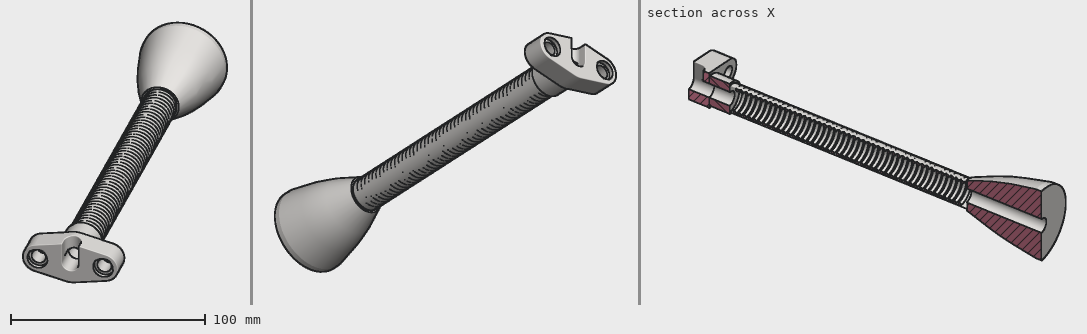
import cadquery as cq
import math

length = 216.5
bracket_thickness = 12.8
ferrule_length = 12.5
cup_length = 46.0
tube_length = length - bracket_thickness - ferrule_length - cup_length

front_y = -length / 2
ferrule_y = front_y + bracket_thickness
tube_y = ferrule_y + ferrule_length
cup_y = tube_y + tube_length
back_y = length / 2

bore_diameter = 8.9
edge_break = 0.5

bracket_width = 51.0
bracket_height = 23.0
bolt_spacing = 35.0
bolt_hole_diameter = 7.5
counterbore_diameter = 10.6
counterbore_depth = 2.5
slot_back_wall = 4.0

ferrule_diameter = 20.1
tube_diameter = 18.0
tube_wall = 0.2
tube_bore_diameter = tube_diameter - 2 * tube_wall
wire_diameter = 2.0
coil_turns = 47
coil_clearance = 0.1
coil_end_gap = 2.2

mouth_diameter = 46.0
neck_diameter = ferrule_diameter
rim_width = 3.5
flank_bulge = 1.5


def ring(outer_diameter, inner_diameter, start_y, ring_length):
    """Round sleeve on the Y axis that starts at start_y and runs toward +Y."""
    return (
        cq.Workplane("XZ", origin=(0, start_y, 0))
        .circle(outer_diameter / 2)
        .circle(inner_diameter / 2)
        .extrude(-ring_length)
    )


def bracket_plate():
    """Plate bounded by hub arcs and ear arcs, joined by tangent flanks."""
    hub_radius = bracket_height / 2
    ear_center_x = bolt_spacing / 2
    ear_radius = bracket_width / 2 - ear_center_x
    normal_x = (hub_radius - ear_radius) / ear_center_x
    normal_z = math.sqrt(1 - normal_x**2)
    hub_end_x = hub_radius * normal_x
    hub_end_z = hub_radius * normal_z
    ear_end_x = ear_center_x + ear_radius * normal_x
    ear_end_z = ear_radius * normal_z
    return (
        cq.Workplane("XZ", origin=(0, front_y, 0))
        .moveTo(-hub_end_x, hub_end_z)
        .threePointArc((0, hub_radius), (hub_end_x, hub_end_z))
        .lineTo(ear_end_x, ear_end_z)
        .threePointArc((bracket_width / 2, 0), (ear_end_x, -ear_end_z))
        .lineTo(hub_end_x, -hub_end_z)
        .threePointArc((0, -hub_radius), (-hub_end_x, -hub_end_z))
        .lineTo(-ear_end_x, -ear_end_z)
        .threePointArc((-bracket_width / 2, 0), (-ear_end_x, ear_end_z))
        .close()
        .extrude(-bracket_thickness)
    )


def cable_slot():
    """Axial bore plus a slot above it, open at the top and front, with a round back wall."""
    bore_radius = bore_diameter / 2
    slot_back_y = ferrule_y - slot_back_wall
    round_start_y = slot_back_y - bore_radius
    bore = cq.Workplane("XZ", origin=(0, front_y, 0)).circle(bore_radius).extrude(-bracket_thickness)
    slot = (
        cq.Workplane("XY")
        .moveTo(-bore_radius, front_y)
        .lineTo(bore_radius, front_y)
        .lineTo(bore_radius, round_start_y)
        .threePointArc((0, slot_back_y), (-bore_radius, round_start_y))
        .close()
        .extrude(bracket_height)
    )
    return bore.union(slot)


def bolt_holes():
    """Counterbored through holes, one in each ear."""
    centers = cq.Workplane("XZ", origin=(0, front_y, 0)).rarray(bolt_spacing, 2.2, 2, 1)
    holes = centers.circle(bolt_hole_diameter / 2).extrude(-bracket_thickness)
    counterbores = centers.circle(counterbore_diameter / 2).extrude(-counterbore_depth)
    return holes.union(counterbores)


def make_bracket():
    bracket = bracket_plate().cut(cable_slot())
    front_edges = cq.StringSyntaxSelector("<Y")
    slot_lip_edges = cq.selectors.BoxSelector(
        (-bore_diameter, front_y, bore_diameter),
        (bore_diameter, ferrule_y - slot_back_wall / 2, bracket_height),
    )
    bracket = bracket.edges(front_edges + slot_lip_edges).fillet(edge_break)
    return bracket.cut(bolt_holes())


def make_ferrule():
    """Sleeve whose outer edge is chamfered where it meets the bracket."""
    ferrule = ring(ferrule_diameter, bore_diameter, ferrule_y, ferrule_length)
    outer_edge = cq.selectors.RadiusNthSelector(-1)
    return ferrule.faces("<Y").edges(outer_edge).chamfer(edge_break)


def make_tube():
    return ring(tube_diameter, tube_bore_diameter, tube_y, tube_length)


def make_coil():
    """Round wire wound as a right-handed helix, just clear of the bore of the tube."""
    coil_radius = (tube_bore_diameter - wire_diameter) / 2 - coil_clearance
    coil_length = tube_length - 2 * coil_end_gap
    helix = cq.Wire.makeHelix(coil_length / coil_turns, coil_length, coil_radius)
    return (
        cq.Workplane("XZ", origin=(coil_radius, 0, 0))
        .circle(wire_diameter / 2)
        .sweep(cq.Workplane(helix), isFrenet=True)
        .rotate((0, 0, 0), (1, 0, 0), -90)
        .translate((0, tube_y + coil_end_gap, 0))
    )


def make_cup():
    """Revolved cup: a bulging flank from the neck, then a short straight rim."""
    bore_radius = bore_diameter / 2
    neck_radius = neck_diameter / 2
    mouth_radius = mouth_diameter / 2
    rim_y = back_y - rim_width
    flank_rise = mouth_radius - neck_radius
    flank_run = rim_y - cup_y
    flank_chord = math.hypot(flank_rise, flank_run)
    flank_middle = (
        (mouth_radius + neck_radius) / 2 + flank_bulge * flank_run / flank_chord,
        (rim_y + cup_y) / 2 - flank_bulge * flank_rise / flank_chord,
    )
    return (
        cq.Workplane("XY")
        .moveTo(bore_radius, cup_y)
        .lineTo(neck_radius, cup_y)
        .threePointArc(flank_middle, (mouth_radius, rim_y))
        .lineTo(mouth_radius, back_y)
        .lineTo(bore_radius, back_y)
        .close()
        .revolve(360, (0, 0, 0), (0, 1, 0))
    )


bracket = make_bracket()
ferrule = make_ferrule()
tube = make_tube()
coil = make_coil()
cup = make_cup()

bodies = [bracket, ferrule, tube, coil, cup]
result = cq.Compound.makeCompound([body.solids().val() for body in bodies])